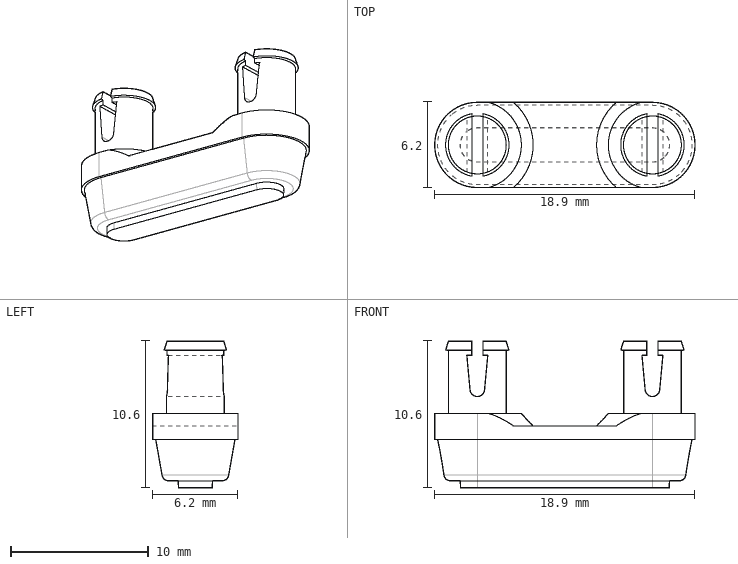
import cadquery as cq
import math

post_spacing = 12.7
post_positions = [-post_spacing / 2, post_spacing / 2]

pad_width = 2.5
pad_height = 0.5
pad_draft_angle = 2
foot_top_z = 3.5
foot_top_width = 5.76
foot_draft_angle = 10
foot_edge_radius = 0.5

plate_width = 6.2
plate_top_z = 5.4
saddle_z = 4.5
boss_top_radius = 3.2
boss_base_radius = 4.05

post_diameter = 4.2
head_diameter = 4.6
head_base_z = 9.94
head_rim_z = 10.0
post_top_z = 10.64

slot_width = 0.8
window_top_z = 9.6
window_top_width = 1.5
window_end_z = 6.63
window_end_radius = 0.52


def stadium(width, bottom_z):
    """Stadium outline whose round ends are centred on the posts."""
    return cq.Workplane("XY").workplane(offset=bottom_z).slot2D(post_spacing + width, width)


def make_foot():
    block_height = foot_top_z - pad_height
    block = (
        stadium(foot_top_width, foot_top_z)
        .extrude(-block_height, taper=foot_draft_angle)
        .faces("<Z")
        .edges()
        .fillet(foot_edge_radius)
    )
    pad = stadium(pad_width, pad_height).extrude(-pad_height, taper=pad_draft_angle)
    return block.union(pad)


def make_plate():
    base = stadium(plate_width, foot_top_z).extrude(saddle_z - foot_top_z)
    envelope = stadium(plate_width, foot_top_z).extrude(plate_top_z - foot_top_z)
    for x in post_positions:
        boss = (
            cq.Workplane("XY", origin=(x, 0, saddle_z))
            .circle(boss_base_radius)
            .workplane(offset=plate_top_z - saddle_z)
            .circle(boss_top_radius)
            .loft()
        )
        base = base.union(boss.intersect(envelope))
    return base


def make_post(x):
    """Round post whose head flares out to a rim, then narrows up to the tip."""
    post_radius = post_diameter / 2
    return (
        cq.Workplane("XZ", origin=(x, 0, 0))
        .moveTo(0, plate_top_z)
        .lineTo(post_radius, plate_top_z)
        .lineTo(post_radius, head_base_z)
        .lineTo(head_diameter / 2, head_rim_z)
        .lineTo(post_radius, post_top_z)
        .lineTo(0, post_top_z)
        .close()
        .revolve(360, (0, 0, 0), (0, 1, 0))
    )


def make_post_slot(x):
    """Cutter whose straight window sides run tangent into the round lower end."""
    half_top = window_top_width / 2
    arc_centre_z = window_end_z + window_end_radius
    rise = window_top_z - arc_centre_z
    tilt = math.atan2(half_top, rise) - math.asin(window_end_radius / math.hypot(half_top, rise))
    tangent_x = window_end_radius * math.cos(tilt)
    tangent_z = arc_centre_z - window_end_radius * math.sin(tilt)
    half_slot = slot_width / 2
    return (
        cq.Workplane("XZ", origin=(x, 0, 0))
        .moveTo(-half_slot, post_top_z)
        .lineTo(-half_slot, window_top_z)
        .lineTo(-half_top, window_top_z)
        .lineTo(-tangent_x, tangent_z)
        .threePointArc((0, window_end_z), (tangent_x, tangent_z))
        .lineTo(half_top, window_top_z)
        .lineTo(half_slot, window_top_z)
        .lineTo(half_slot, post_top_z)
        .close()
        .extrude(head_diameter, both=True)
    )


def make_holder():
    holder = make_plate()
    for x in post_positions:
        holder = holder.union(make_post(x).cut(make_post_slot(x)))
    return holder


foot = make_foot()
holder = make_holder()

result = cq.Compound.makeCompound([foot.val(), holder.val()])